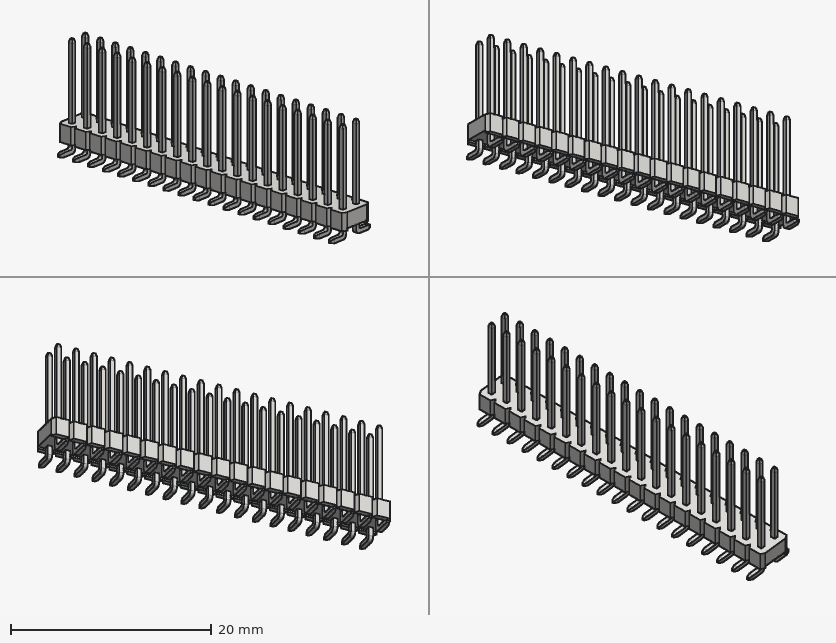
import cadquery as cq

length = 38.0
positions = 19
pitch = length / positions
overall_width = 6.0
overall_height = 12.25

body_width = 4.0
body_bottom = 1.25
body_top = 3.23
notch_half_length = 0.25
notch_depth = 0.5
channel_width = 2.85
channel_depth = 0.23

pin_size = 0.5
tip_length = 0.38
foot_tip_length = 0.45
tip_size = 0.25
inner_bend_radius = 0.23
outer_bend_radius = 0.5


def pin_x(index):
    return (index - (positions - 1) / 2) * pitch


def make_body():
    """Row of joined cells with chamfered corners and a channel along the underside."""
    half_width = body_width / 2
    shoulder_y = half_width - notch_depth
    flat_half = pitch / 2 - notch_half_length

    front_edge = [(-length / 2, -shoulder_y)]
    for index in range(positions):
        x = pin_x(index)
        front_edge.append((x - flat_half, -half_width))
        front_edge.append((x + flat_half, -half_width))
        front_edge.append((x + pitch / 2, -shoulder_y))
    back_edge = [(x, -y) for x, y in reversed(front_edge)]

    body = (
        cq.Workplane("XY", origin=(0, 0, body_bottom))
        .polyline(front_edge + back_edge)
        .close()
        .extrude(body_top - body_bottom)
    )
    channel = cq.Workplane("XY", origin=(0, 0, body_bottom)).box(
        length, channel_width, channel_depth, centered=(True, True, False)
    )
    return body.cut(channel)


def make_tip(plane, tip_height):
    """Square pyramid frustum narrowing along the normal of its base plane."""
    return (
        cq.Workplane(plane)
        .rect(pin_size, pin_size)
        .workplane(offset=tip_height)
        .rect(tip_size, tip_size)
        .loft(ruled=True)
    )


def make_pin():
    """Upright pin of the front row at X = 0, with its foot bent toward -Y."""
    row_y = -pitch / 2
    outer_y = row_y - pin_size / 2
    inner_y = row_y + pin_size / 2
    post_top = overall_height - tip_length
    foot_end = -overall_width / 2 + foot_tip_length

    pin = (
        cq.Workplane("YZ")
        .moveTo(foot_end, 0)
        .lineTo(inner_y - outer_bend_radius, 0)
        .radiusArc((inner_y, outer_bend_radius), -outer_bend_radius)
        .lineTo(inner_y, post_top)
        .lineTo(outer_y, post_top)
        .lineTo(outer_y, pin_size + inner_bend_radius)
        .radiusArc((outer_y - inner_bend_radius, pin_size), inner_bend_radius)
        .lineTo(foot_end, pin_size)
        .close()
        .extrude(pin_size / 2, both=True)
    )

    post_plane = cq.Plane(origin=(0, row_y, post_top), normal=(0, 0, 1))
    foot_plane = cq.Plane(
        origin=(0, foot_end, pin_size / 2), xDir=(1, 0, 0), normal=(0, -1, 0)
    )
    pin = pin.union(make_tip(post_plane, tip_length))
    return pin.union(make_tip(foot_plane, foot_tip_length))


front_pin = make_pin()
back_pin = front_pin.mirror("XZ")

result = make_body()
for index in range(positions):
    for pin in (front_pin, back_pin):
        result = result.union(pin.translate((pin_x(index), 0, 0)))